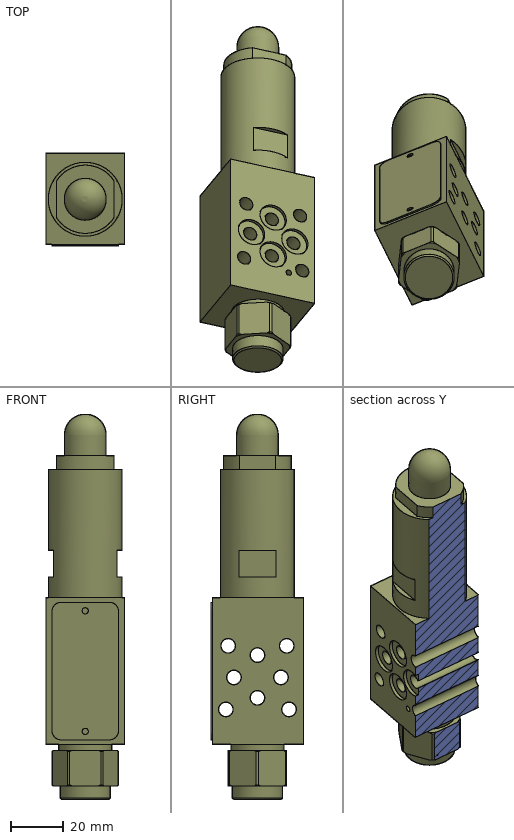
import cadquery as cq
import math

BLOCK_WIDTH = 30.0
BLOCK_DEPTH = 34.8
BLOCK_HEIGHT = 56.0
BLOCK_BACK_Y = 17.6
BLOCK_FRONT_Y = BLOCK_BACK_Y - BLOCK_DEPTH

PLATE_MARGIN = 1.8
PLATE_WIDTH = 25.5
PLATE_HEIGHT = BLOCK_HEIGHT - 2 * PLATE_MARGIN
PLATE_THICKNESS = 0.6
PLATE_CORNER_RADIUS = 3.5
RIVET_HOLE_DIAMETER = 2.4
RIVET_HOLE_DEPTH = PLATE_THICKNESS
RIVET_INSET = 5.0

PORT_DIAMETER = 5.5
SEAL_DIAMETER = 10.9
SEAL_DEPTH = 1.3
SIDE_PORT_Y = 9.0
SIDE_PORT_Z = 25.6
LOWER_PORT_Z = 17.8
UPPER_PORT_Z = 34.1
PORT_PLACES = [
    (-SIDE_PORT_Y, SIDE_PORT_Z),
    (SIDE_PORT_Y, SIDE_PORT_Z),
    (0, LOWER_PORT_Z),
    (0, UPPER_PORT_Z),
]

BOLT_DIAMETER = 5.5
LOWER_BOLT_Y = 12.0
LOWER_BOLT_Z = 13.4
UPPER_BOLT_Y = 11.2
UPPER_BOLT_Z = 37.6
BOLT_PLACES = [
    (-LOWER_BOLT_Y, LOWER_BOLT_Z),
    (LOWER_BOLT_Y, LOWER_BOLT_Z),
    (-UPPER_BOLT_Y, UPPER_BOLT_Z),
    (UPPER_BOLT_Y, UPPER_BOLT_Z),
]
PIN_DIAMETER = 2.2
PIN_DEPTH = 3.0
PIN_PLACE = (-6.5, 11.2)

HOUSING_DIAMETER = 28.2
HOUSING_HEIGHT = 49.0
FLATS_WIDTH = 24.4
FLATS_BOTTOM = 8.0
FLATS_HEIGHT = 10.1

COLLAR_DIAMETER = 26.0
COLLAR_WIDTH = 22.0
COLLAR_HEIGHT = 5.3

KNOB_DIAMETER = 16.0
KNOB_STEM_HEIGHT = 7.8
KNOB_TIP_DIAMETER = 2.4

OVERALL_HEIGHT = 147.0
NECK_DIAMETER = 20.3
NECK_HEIGHT = 2.2
NUT_ACROSS_FLATS = 22.3
NUT_ROUND_DIAMETER = 25.3
NUT_HEIGHT = 13.7
NUT_CHAMFER = 0.5
STUB_DIAMETER = 19.3
STUB_CHAMFER = 0.6


def cylinder(diameter, bottom, height):
    """Upright cylinder on the valve axis."""
    return cq.Workplane("XY").workplane(offset=bottom).circle(diameter / 2).extrude(height)


def slab(width, bottom, height):
    """Slab on the valve axis, limited in X and wide enough in Y to span the housing."""
    return (
        cq.Workplane("XY")
        .workplane(offset=bottom)
        .rect(width, 2 * HOUSING_DIAMETER)
        .extrude(height)
    )


def side_holes(places, diameter, depth):
    """Round cutters running from the -X face towards +X."""
    return (
        cq.Workplane("YZ")
        .workplane(offset=-BLOCK_WIDTH / 2)
        .pushPoints(places)
        .circle(diameter / 2)
        .extrude(depth)
    )


def make_block():
    block = cq.Workplane("XY").box(
        BLOCK_WIDTH, BLOCK_DEPTH, BLOCK_HEIGHT, centered=(True, False, False)
    )
    block = block.translate((0, BLOCK_FRONT_Y, 0))
    block = block.cut(side_holes(PORT_PLACES, PORT_DIAMETER, BLOCK_WIDTH))
    block = block.cut(side_holes(PORT_PLACES, SEAL_DIAMETER, SEAL_DEPTH))
    block = block.cut(side_holes(BOLT_PLACES, BOLT_DIAMETER, BLOCK_WIDTH))
    return block.cut(side_holes([PIN_PLACE], PIN_DIAMETER, PIN_DEPTH))


def make_name_plate():
    middle = (0, BLOCK_FRONT_Y, BLOCK_HEIGHT / 2)
    rivet_offset = BLOCK_HEIGHT / 2 - RIVET_INSET
    plate = (
        cq.Workplane("XZ", origin=middle)
        .rect(PLATE_WIDTH, PLATE_HEIGHT)
        .extrude(PLATE_THICKNESS)
        .edges("|Y")
        .fillet(PLATE_CORNER_RADIUS)
    )
    return (
        plate.faces("<Y")
        .workplane(origin=middle)
        .pushPoints([(0, -rivet_offset), (0, rivet_offset)])
        .hole(RIVET_HOLE_DIAMETER, RIVET_HOLE_DEPTH)
    )


def make_housing():
    housing = cylinder(HOUSING_DIAMETER, BLOCK_HEIGHT, HOUSING_HEIGHT)
    flats_z = BLOCK_HEIGHT + FLATS_BOTTOM
    band = cylinder(2 * HOUSING_DIAMETER, flats_z, FLATS_HEIGHT)
    return housing.cut(band.cut(slab(FLATS_WIDTH, flats_z, FLATS_HEIGHT)))


def make_collar(bottom):
    collar = cylinder(COLLAR_DIAMETER, bottom, COLLAR_HEIGHT)
    return collar.intersect(slab(COLLAR_WIDTH, bottom, COLLAR_HEIGHT))


def make_knob(bottom):
    radius = KNOB_DIAMETER / 2
    tip_radius = KNOB_TIP_DIAMETER / 2
    dome_z = bottom + KNOB_STEM_HEIGHT
    tip_z = dome_z + math.sqrt(radius**2 - tip_radius**2)
    diagonal = radius * math.sqrt(0.5)
    return (
        cq.Workplane("XZ")
        .moveTo(0, bottom)
        .lineTo(radius, bottom)
        .lineTo(radius, dome_z)
        .threePointArc((diagonal, dome_z + diagonal), (tip_radius, tip_z))
        .lineTo(0, tip_z)
        .close()
        .revolve(360, (0, 0), (0, 1))
    )


def make_plug(bottom):
    nut_top = -NECK_HEIGHT
    nut_bottom = nut_top - NUT_HEIGHT
    across_corners = NUT_ACROSS_FLATS / math.cos(math.pi / 6)
    neck = cylinder(NECK_DIAMETER, nut_top, NECK_HEIGHT)
    hexagon = (
        cq.Workplane("XY")
        .workplane(offset=nut_bottom)
        .polygon(6, across_corners)
        .extrude(NUT_HEIGHT)
    )
    rounding = cylinder(NUT_ROUND_DIAMETER, nut_bottom, NUT_HEIGHT).edges().chamfer(NUT_CHAMFER)
    stub = cylinder(STUB_DIAMETER, bottom, nut_bottom - bottom).faces("<Z").chamfer(STUB_CHAMFER)
    return neck.union(hexagon.intersect(rounding)).union(stub)


collar_bottom = BLOCK_HEIGHT + HOUSING_HEIGHT
knob_bottom = collar_bottom + COLLAR_HEIGHT
knob = make_knob(knob_bottom)
plug_bottom = knob.val().BoundingBox().zmax - OVERALL_HEIGHT

result = (
    make_block()
    .union(make_name_plate())
    .union(make_housing())
    .union(make_collar(collar_bottom))
    .union(knob)
    .union(make_plug(plug_bottom))
)